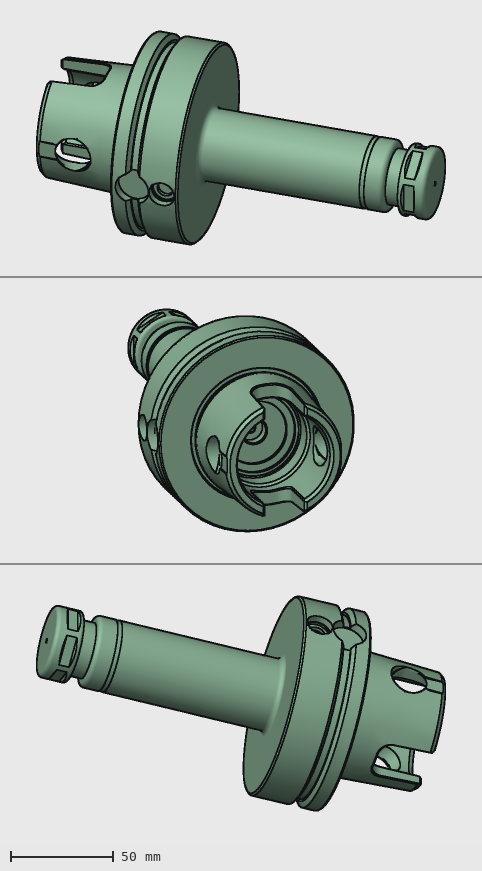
import cadquery as cq
import math


total_length = 195.0
taper_end = 43.0
flange_start = 44.7
flange_end = 79.0
shaft_end = 174.0
nut_start = 181.0

taper_small_radius = 29.8
taper_ratio = 1 / 20
taper_tip_chamfer_length = 2.1
taper_tip_chamfer_height = 1.5
relief_radius = 31.4
face_recess_radius = 34.0
face_recess_depth = 1.0
face_recess_draft = 0.5

mouth_radius = 25.0
bore_radius = 23.8
mouth_chamfer_length = 2.3
clamp_shoulder_start = 34.0
clamp_shoulder_length = 1.2
clamp_radius = 22.5
clamp_end = 44.5
seat_entry_radius = 21.5
seat_entry_depth = 0.5
seat_radius = 19.9
seat_floor = 46.8
inner_recess_diameter = 32.2
inner_recess_depth = 2.0
coolant_entry_diameter = 13.3
coolant_entry_depth = 5.8
coolant_entry_chamfer = 0.5
coolant_step_diameter = 5.0
coolant_step_depth = 3.9
coolant_step_chamfer = 0.3
coolant_bore_diameter = 2.0

flange_diameter = 100.0
flange_front_chamfer = 0.8
flange_rear_chamfer = 1.0
groove_floor_diameter = 92.2
groove_floor_start = 54.0
groove_floor_end = 57.7
groove_flank_length = 1.8
groove_flank_height = 2.7

shaft_diameter = 36.0
shaft_root_fillet = 2.7
shaft_end_fillet = 2.3
ring_groove_start = 161.8
ring_groove_length = 2.3
ring_groove_depth = 0.2
neck_diameter = 28.0
nut_diameter = 36.0
nut_rear_fillet = 1.8
nut_front_fillet = 2.1

nut_flat_count = 6
nut_flat_start = 184.0
nut_flat_length = 5.0
nut_flat_flare = 1.0
nut_flat_distance = 16.4

slot_width = 20.3
slot_end = 27.0
slot_corner_radius = 6.0
slot_mouth_chamfer = 1.2
slot_edge_chamfer = 0.5

cross_hole_diameter = 18.5
cross_hole_x = 19.3
tilted_hole_angle = 30.0
tilted_hole_x = 20.5
tilted_hole_distance = 29.0
tilted_hole_length = 11.7
lead_flat_width = 8.8
lead_flat_distance = 29.2

notch_diameter = 17.0
notch_x = 55.8
notch_floor = 44.7
screw_x = 71.0
screw_diameter = 12.0
screw_mouth_diameter = 12.9
screw_mouth_floor = 45.8
screw_floor = 44.5
screw_core_diameter = 8.0
screw_core_depth = 2.0

flange_radius = flange_diameter / 2
shaft_radius = shaft_diameter / 2


def taper_radius(x):
    return taper_small_radius + taper_ratio * (x - taper_tip_chamfer_length)


def arc_mid_inset(radius):
    """Distance from each tangent line to the middle of a quarter-round corner."""
    return radius * (1 - math.sqrt(0.5))


def revolve_about_x(profile):
    return profile.close().revolve(360, (0, 0, 0), (1, 0, 0))


def make_outside():
    groove_floor = groove_floor_diameter / 2
    nut_radius = nut_diameter / 2
    ring_groove_end = ring_groove_start + ring_groove_length
    shaft_end_mid = arc_mid_inset(shaft_end_fillet)
    root_mid = arc_mid_inset(shaft_root_fillet)
    nut_rear_mid = arc_mid_inset(nut_rear_fillet)
    nut_front_mid = arc_mid_inset(nut_front_fillet)
    profile = (
        cq.Workplane("XY")
        .moveTo(0, 0)
        .lineTo(0, taper_radius(0))
        .lineTo(taper_end, taper_radius(taper_end))
        .lineTo(taper_end, relief_radius)
        .lineTo(flange_start + face_recess_depth, relief_radius)
        .lineTo(flange_start + face_recess_depth, face_recess_radius - face_recess_draft)
        .lineTo(flange_start, face_recess_radius)
        .lineTo(flange_start, flange_radius - flange_front_chamfer)
        .lineTo(flange_start + flange_front_chamfer, flange_radius)
        .lineTo(groove_floor_start - groove_flank_length, flange_radius)
        .lineTo(groove_floor_start, flange_radius - groove_flank_height)
        .lineTo(groove_floor_start, groove_floor)
        .lineTo(groove_floor_end, groove_floor)
        .lineTo(groove_floor_end, flange_radius - groove_flank_height)
        .lineTo(groove_floor_end + groove_flank_length, flange_radius)
        .lineTo(flange_end - flange_rear_chamfer, flange_radius)
        .lineTo(flange_end, flange_radius - flange_rear_chamfer)
        .lineTo(flange_end, shaft_radius + shaft_root_fillet)
        .threePointArc(
            (flange_end + root_mid, shaft_radius + root_mid),
            (flange_end + shaft_root_fillet, shaft_radius),
        )
        .lineTo(ring_groove_start, shaft_radius)
        .lineTo(ring_groove_start, shaft_radius - ring_groove_depth)
        .lineTo(ring_groove_end, shaft_radius - ring_groove_depth)
        .lineTo(ring_groove_end, shaft_radius)
        .lineTo(shaft_end - shaft_end_fillet, shaft_radius)
        .threePointArc(
            (shaft_end - shaft_end_mid, shaft_radius - shaft_end_mid),
            (shaft_end, shaft_radius - shaft_end_fillet),
        )
        .lineTo(shaft_end, neck_diameter / 2)
        .lineTo(nut_start, neck_diameter / 2)
        .lineTo(nut_start, nut_radius - nut_rear_fillet)
        .threePointArc(
            (nut_start + nut_rear_mid, nut_radius - nut_rear_mid),
            (nut_start + nut_rear_fillet, nut_radius),
        )
        .lineTo(total_length - nut_front_fillet, nut_radius)
        .threePointArc(
            (total_length - nut_front_mid, nut_radius - nut_front_mid),
            (total_length, nut_radius - nut_front_fillet),
        )
        .lineTo(total_length, 0)
    )
    return revolve_about_x(profile)


def make_bore():
    inner_recess_floor = seat_floor + inner_recess_depth
    coolant_entry_floor = inner_recess_floor + coolant_entry_depth
    coolant_step_floor = coolant_entry_floor + coolant_step_depth
    inner_recess_radius = inner_recess_diameter / 2
    coolant_entry_radius = coolant_entry_diameter / 2
    coolant_step_radius = coolant_step_diameter / 2
    coolant_bore_radius = coolant_bore_diameter / 2
    profile = (
        cq.Workplane("XY")
        .moveTo(0, 0)
        .lineTo(0, bore_radius)
        .lineTo(clamp_shoulder_start, bore_radius)
        .lineTo(clamp_shoulder_start + clamp_shoulder_length, clamp_radius)
        .lineTo(clamp_end, clamp_radius)
        .lineTo(clamp_end, seat_entry_radius)
        .lineTo(clamp_end + seat_entry_depth, seat_entry_radius)
        .lineTo(clamp_end + seat_entry_depth, seat_radius)
        .lineTo(seat_floor, seat_radius)
        .lineTo(seat_floor, inner_recess_radius)
        .lineTo(inner_recess_floor, inner_recess_radius)
        .lineTo(inner_recess_floor, coolant_entry_radius)
        .lineTo(inner_recess_floor + coolant_entry_chamfer, coolant_entry_radius - coolant_entry_chamfer)
        .lineTo(coolant_entry_floor, coolant_entry_radius - coolant_entry_chamfer)
        .lineTo(coolant_entry_floor, coolant_step_radius)
        .lineTo(coolant_entry_floor + coolant_step_chamfer, coolant_step_radius - coolant_step_chamfer)
        .lineTo(coolant_step_floor, coolant_step_radius - coolant_step_chamfer)
        .lineTo(coolant_step_floor, coolant_bore_radius)
        .lineTo(total_length, coolant_bore_radius)
        .lineTo(total_length, 0)
    )
    return revolve_about_x(profile)


def make_tip_chamfers():
    """Rings cut from the outer and inner rims of the shank tip."""
    tip_radius = taper_small_radius - taper_tip_chamfer_height
    outer = (
        cq.Workplane("XY")
        .moveTo(0, tip_radius)
        .lineTo(2 * taper_tip_chamfer_length, tip_radius + 2 * taper_tip_chamfer_height)
        .lineTo(0, tip_radius + 2 * taper_tip_chamfer_height)
    )
    mouth = (
        cq.Workplane("XY")
        .moveTo(0, 0)
        .lineTo(0, mouth_radius)
        .lineTo(mouth_chamfer_length, bore_radius)
        .lineTo(mouth_chamfer_length, 0)
    )
    return revolve_about_x(outer).union(revolve_about_x(mouth))


def make_drive_slots():
    return (
        cq.Workplane("XY")
        .rect(2 * slot_end, slot_width)
        .extrude(taper_radius(taper_end), both=True)
        .edges("|Z and >X")
        .fillet(slot_corner_radius)
    )


def make_slot_mouth_flare():
    """Wedge that widens both slots where they open at the tip."""
    half_width = slot_width / 2
    return (
        cq.Workplane("XY")
        .moveTo(0, -half_width - slot_mouth_chamfer)
        .lineTo(slot_mouth_chamfer, -half_width)
        .lineTo(slot_mouth_chamfer, half_width)
        .lineTo(0, half_width + slot_mouth_chamfer)
        .close()
        .extrude(taper_radius(taper_end), both=True)
    )


def radial_cylinder(x, diameter, floor):
    """Cylinder along -Y from the floor distance out to the flange rim."""
    return (
        cq.Workplane("XZ", origin=(x, -floor, 0))
        .circle(diameter / 2)
        .extrude(flange_radius - floor)
    )


def make_notch_and_screw_hole():
    notch = radial_cylinder(notch_x, notch_diameter, notch_floor)
    screw = radial_cylinder(screw_x, screw_diameter, screw_floor)
    mouth = radial_cylinder(screw_x, screw_mouth_diameter, screw_mouth_floor)
    core = radial_cylinder(screw_x, screw_core_diameter, screw_floor - screw_core_depth)
    return notch.union(mouth).union(screw).union(core)


def make_lead_flat():
    depth = taper_radius(cross_hole_x) - lead_flat_distance
    return (
        cq.Workplane("XY")
        .box(cross_hole_x, depth, lead_flat_width, centered=(False, False, True))
        .translate((0, -lead_flat_distance - depth, 0))
    )


def make_nut_flats():
    top = nut_diameter / 2
    flat_end = nut_flat_start + nut_flat_length
    flat = (
        cq.Workplane("XY")
        .moveTo(nut_flat_start, nut_flat_distance)
        .lineTo(flat_end, nut_flat_distance)
        .lineTo(flat_end + nut_flat_flare, top)
        .lineTo(nut_flat_start - nut_flat_flare, top)
        .close()
        .extrude(top, both=True)
    )
    flats = cq.Workplane("XY")
    for index in range(nut_flat_count):
        flats = flats.union(flat.rotate((0, 0, 0), (1, 0, 0), index * 360 / nut_flat_count))
    return flats


def chamfer_slot_edges(shank):
    """Break the inner and outer rims of both drive slots."""
    reach = slot_width / 2 + slot_edge_chamfer
    near_slot = cq.selectors.BoxSelector(
        (0, -reach, -flange_radius),
        (slot_end + slot_edge_chamfer, reach, flange_radius),
    )
    return shank.edges(near_slot).edges("not |Z").chamfer(slot_edge_chamfer)


def make_tilted_hole():
    """Leaning hole that widens the inner end of the cross hole toward the tip."""
    angle = math.radians(tilted_hole_angle)
    inward = cq.Vector(-math.sin(angle), math.cos(angle), 0)
    outer_end = cq.Vector(tilted_hole_x, -tilted_hole_distance, 0)
    return cq.Workplane(cq.Solid.makeCylinder(cross_hole_diameter / 2, tilted_hole_length, outer_end, inward))


shank = chamfer_slot_edges(make_outside().cut(make_bore()).cut(make_drive_slots()))
shank = shank.cut(make_slot_mouth_flare()).cut(make_tip_chamfers())

cross_hole = radial_cylinder(cross_hole_x, cross_hole_diameter, -flange_radius)
body = shank.cut(cross_hole)
for feature in (make_tilted_hole(), make_lead_flat(), make_notch_and_screw_hole()):
    body = body.cut(feature).cut(feature.rotate((0, 0, 0), (1, 0, 0), 180))
result = body.cut(make_nut_flats())